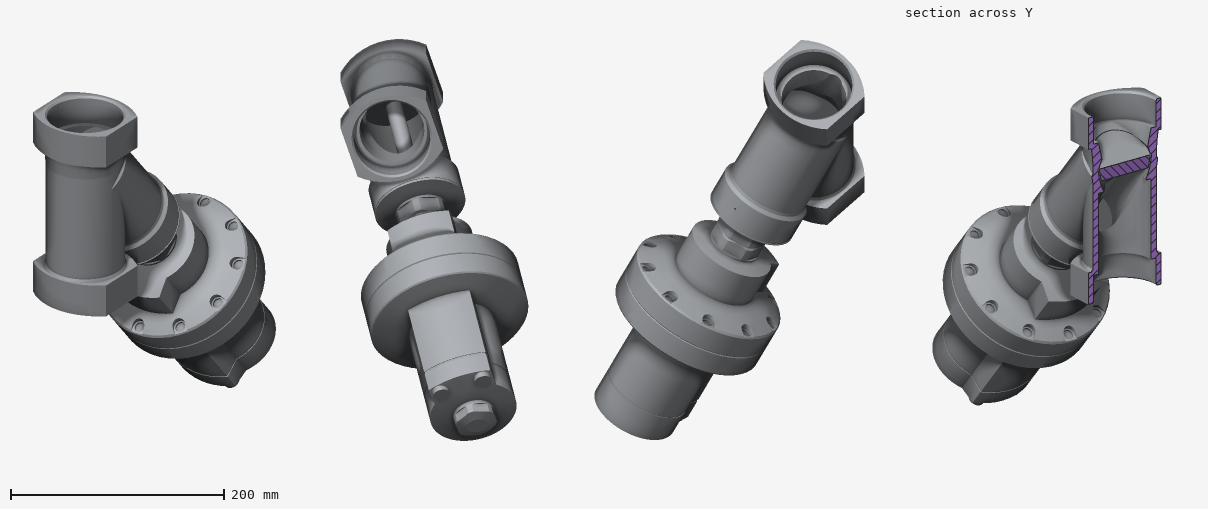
import cadquery as cq
import math


BRANCH_ANGLE = 40.0
branch_direction = (
    0,
    math.sin(math.radians(BRANCH_ANGLE)),
    -math.cos(math.radians(BRANCH_ANGLE)),
)
BRANCH_PLACE = cq.Location(cq.Plane(origin=(0, 0, 0), xDir=(1, 0, 0), normal=branch_direction))

PIPE_HEIGHT = 190.0
PIPE_TOP = 52.5
PIPE_BOTTOM = PIPE_TOP - PIPE_HEIGHT
PIPE_RADIUS = 37.3
END_HEIGHT = 32.5
END_HALF_WIDTH = 42.4
END_HALF_DEPTH = 41.3
END_CORNER_DEPTH = 24.8
COLLAR_RADIUS = 39.2
COLLAR_HEIGHT = 2.4
NECK_RADIUS = 38.8
NECK_HEIGHT = 14.5

SOCKET_RADIUS = 36.0
SOCKET_DEPTH = 28.0
SOCKET_CHAMFER = 1.8
PASSAGE_RADIUS = 30.4
THROAT_RADIUS = 25.0
PASSAGE_LENGTH = 60.0
OUTLET_LENGTH = 82.0

BRANCH_START = 1.5
BRANCH_RADIUS = 39.2
BRANCH_START_CHAMFER = 2.8
RING_RADIUS = 43.3
RING_RAMP_START = 93.2
RING_RAMP_MIDDLE = 96.0
RING_START = 99.0
RING_END = 126.0
RING_STEP = 0.8
VENT_DIAMETER = 2.5
VENT_POSITION = 111.0
BRANCH_BORE_RADIUS = 31.0
SEAT_RADIUS = 30.0
SEAT_CONE_LENGTH = 57.0

DISC_THICKNESS = 10.0
STEM_DIAMETER = 16.0
SPIGOT_LENGTH = 24.0
SEAM_DEPTH = 0.6
BONNET_SEAM_END = 127.5
BONNET_RIM_END = 128.7
BONNET_DOME_END = 132.5
NUT_RADIUS = 25.0
NUT_WIDTH = 46.0
NUT_COLLAR = 2.5
NUT_NECK_RADIUS = 22.6
NUT_NECK_START = 148.3
NUT_NECK_END = 151.5
NUT_END = 166.0

HUB_RADIUS = 41.3
ARM_HALF_WIDTH = 30.4
ARM_REACH = 53.5
ARM_TIP_RADIUS = 75.0
HUB_DOME_APEX = 163.4
HUB_DOME_RADIUS = 145.0
FLANGE_RADIUS = 75.65
FLANGE_SEAM = 239.5
FLANGE_SEAM_CHAMFER = 0.8
BASE_DOME_APEX = 200.2
BASE_DOME_RADIUS = 195.0
BASE_RIM_RADIUS = 74.0
BASE_RIM_START = 216.8
LID_DOME_APEX = 276.0
LID_DOME_RADIUS = 210.0
LID_RIM_RADIUS = 74.6
LID_RIM_START = 261.0
BOLT_COUNT = 10
BOLT_CIRCLE_RADIUS = 68.0
BOLT_SLOT_DIAMETER = 13.0
BOLT_HOLE_DIAMETER = 10.0
BOLT_SLOT_FLOOR = 215.5
BOLT_HOLE_FLOOR = 217.5

CAP_GROOVE_START = 341.0
CAP_GROOVE_WIDTH = 2.3
CAP_DOME_RADIUS = 255.0
CAP_DOME_APEX = 373.3
CAP_DOME_OFFSET = -20.0
FOOT_DIAMETER = 16.0
FOOT_SPACING = 41.0
FOOT_REACH = 41.5
FOOT_LENGTH = 20.0
FOOT_END = 368.0
PLUG_RADIUS = 20.0
PLUG_WIDTH = 37.0
PLUG_BASE_END = 374.0
PLUG_RIM = 382.5
PLUG_TIP_RADIUS = 10.0
PLUG_END = 385.5


def revolved(outline):
    """Turn a closed (radius, height) outline around Z."""
    return cq.Workplane("XZ").polyline(outline).close().revolve(360, (0, 0), (0, 1))


def cylinder(radius, start, end):
    return cq.Workplane("XY").workplane(offset=start).circle(radius).extrude(end - start)


def hexagon(width, start, end):
    corner_diameter = width / math.cos(math.radians(30))
    flats_to_x = cq.Workplane("XY").workplane(offset=start).transformed(rotate=(0, 0, 30))
    return flats_to_x.polygon(6, corner_diameter).extrude(end - start)


def ball(radius, y, z):
    """Sphere centred on the YZ plane, with its poles on the X direction, clear of the dome tops."""
    return cq.Workplane("YZ").sphere(radius).translate((0, y, z))


def dome_drop(dome_radius, radius):
    """How far a spherical dome falls from its apex at the given distance from its axis."""
    return dome_radius - math.sqrt(dome_radius**2 - radius**2)


def tilted(upright):
    return cq.Workplane(obj=upright.val().moved(BRANCH_PLACE))


def pipe_end(start):
    return (
        cq.Workplane("XY")
        .workplane(offset=start)
        .moveTo(END_HALF_WIDTH, -END_CORNER_DEPTH)
        .lineTo(END_HALF_WIDTH, END_CORNER_DEPTH)
        .threePointArc((0, END_HALF_DEPTH), (-END_HALF_WIDTH, END_CORNER_DEPTH))
        .lineTo(-END_HALF_WIDTH, -END_CORNER_DEPTH)
        .threePointArc((0, -END_HALF_DEPTH), (END_HALF_WIDTH, -END_CORNER_DEPTH))
        .close()
        .extrude(END_HEIGHT)
    )


def pipe_outside():
    low = PIPE_BOTTOM + END_HEIGHT
    high = PIPE_TOP - END_HEIGHT
    barrel = revolved(
        [
            (0, low),
            (COLLAR_RADIUS, low),
            (PIPE_RADIUS, low + COLLAR_HEIGHT),
            (PIPE_RADIUS, high - COLLAR_HEIGHT - NECK_HEIGHT),
            (NECK_RADIUS, high - COLLAR_HEIGHT),
            (COLLAR_RADIUS, high - COLLAR_HEIGHT),
            (COLLAR_RADIUS, high),
            (0, high),
        ]
    )
    return barrel.union(pipe_end(PIPE_BOTTOM)).union(pipe_end(high))


def branch_outside():
    return revolved(
        [
            (0, BRANCH_START),
            (BRANCH_RADIUS - BRANCH_START_CHAMFER, BRANCH_START),
            (BRANCH_RADIUS, BRANCH_START + BRANCH_START_CHAMFER),
            (BRANCH_RADIUS, RING_RAMP_START),
            (BRANCH_RADIUS + RING_STEP, RING_RAMP_MIDDLE),
            (RING_RADIUS, RING_START),
            (RING_RADIUS, RING_END),
            (0, RING_END),
        ]
    )


def branch_cavity():
    """Bore for the stem and disc, with the seat cone running on past the pipe axis."""
    return revolved(
        [
            (0, -SEAT_CONE_LENGTH),
            (SEAT_RADIUS, 0),
            (BRANCH_BORE_RADIUS, 0),
            (BRANCH_BORE_RADIUS, RING_END),
            (0, RING_END),
        ]
    )


def socket(mouth, inward):
    """Chamfered round socket; `inward` is +1 or -1, the way it goes along Z."""
    floor = mouth + inward * SOCKET_DEPTH
    return revolved(
        [
            (0, mouth),
            (SOCKET_RADIUS + SOCKET_CHAMFER, mouth),
            (SOCKET_RADIUS, mouth + inward * SOCKET_CHAMFER),
            (SOCKET_RADIUS, floor),
            (0, floor),
        ]
    )


def inlet_passage():
    """Tapered passage from the upper socket down to the plane of the seat."""
    start = PIPE_TOP - SOCKET_DEPTH
    throat = revolved(
        [
            (0, start),
            (PASSAGE_RADIUS, start),
            (THROAT_RADIUS, 0),
            (THROAT_RADIUS, start - PASSAGE_LENGTH),
            (0, start - PASSAGE_LENGTH),
        ]
    )
    beyond_seat = tilted(cylinder(PIPE_HEIGHT, 0, PIPE_HEIGHT))
    return throat.cut(beyond_seat)


def outlet_passage():
    start = PIPE_BOTTOM + SOCKET_DEPTH
    return cylinder(PASSAGE_RADIUS, start, start + OUTLET_LENGTH)


def vent_hole():
    return (
        cq.Workplane("XZ")
        .center(0, VENT_POSITION)
        .circle(VENT_DIAMETER / 2)
        .extrude(RING_RADIUS + 1)
    )


def make_valve_body():
    body = pipe_outside().union(tilted(branch_outside()))
    body = body.cut(tilted(branch_cavity()))
    body = body.cut(socket(PIPE_TOP, -1)).cut(socket(PIPE_BOTTOM, 1))
    body = body.cut(inlet_passage()).cut(outlet_passage())
    return body.cut(tilted(vent_hole()))


def make_bonnet():
    """Sealing disc, stem, spigot and rim, then the double hexagon that carries the actuator."""
    stem_radius = STEM_DIAMETER / 2
    turned = revolved(
        [
            (0, 0),
            (SEAT_RADIUS, 0),
            (SEAT_RADIUS, DISC_THICKNESS),
            (stem_radius, DISC_THICKNESS),
            (stem_radius, RING_END - SPIGOT_LENGTH),
            (BRANCH_BORE_RADIUS, RING_END - SPIGOT_LENGTH),
            (BRANCH_BORE_RADIUS, RING_END),
            (RING_RADIUS - SEAM_DEPTH, RING_END),
            (RING_RADIUS - SEAM_DEPTH, BONNET_SEAM_END),
            (RING_RADIUS, BONNET_SEAM_END),
            (RING_RADIUS, BONNET_RIM_END),
            (NUT_RADIUS, BONNET_DOME_END),
            (NUT_RADIUS, BONNET_DOME_END + NUT_COLLAR),
            (0, BONNET_DOME_END + NUT_COLLAR),
        ]
    )
    neck_middle = (NUT_NECK_START + NUT_NECK_END) / 2
    nut = revolved(
        [
            (0, BONNET_DOME_END),
            (NUT_RADIUS, BONNET_DOME_END),
            (NUT_RADIUS, NUT_NECK_START),
            (NUT_NECK_RADIUS, neck_middle),
            (NUT_RADIUS, NUT_NECK_END),
            (NUT_RADIUS, NUT_END),
            (0, NUT_END),
        ]
    ).intersect(hexagon(NUT_WIDTH, BONNET_DOME_END, NUT_END))
    end_collar = cylinder(NUT_RADIUS, NUT_END - NUT_COLLAR, NUT_END)
    return tilted(turned.union(nut).union(end_collar).cut(hub_dome()))


def hub_section(start, end, inset=0):
    """Round hub with a straight-sided arm on the +Y side, pulled in all round by `inset`."""
    half_width = ARM_HALF_WIDTH - inset
    reach = ARM_REACH - inset
    side_reach = reach - dome_drop(ARM_TIP_RADIUS, half_width)
    arm = (
        cq.Workplane("XY")
        .workplane(offset=start)
        .moveTo(-half_width, 0)
        .lineTo(half_width, 0)
        .lineTo(half_width, side_reach)
        .threePointArc((0, reach), (-half_width, side_reach))
        .close()
        .extrude(end - start)
    )
    return cylinder(HUB_RADIUS - inset, start, end).union(arm)


def hub_dome():
    return ball(HUB_DOME_RADIUS, 0, HUB_DOME_APEX + HUB_DOME_RADIUS)


def domed_flange(apex, dome_radius, dome_rim_radius, rim_start, facing):
    """Flange half with a domed face; `facing` is +1 or -1, the way the dome points along Z."""
    def dome_height(radius):
        return apex - facing * dome_drop(dome_radius, radius)

    seam_edge = FLANGE_SEAM + facing * FLANGE_SEAM_CHAMFER
    middle = dome_rim_radius / 2
    return (
        cq.Workplane("XZ")
        .moveTo(0, FLANGE_SEAM)
        .lineTo(0, apex)
        .threePointArc((middle, dome_height(middle)), (dome_rim_radius, dome_height(dome_rim_radius)))
        .lineTo(FLANGE_RADIUS, rim_start)
        .lineTo(FLANGE_RADIUS, seam_edge)
        .lineTo(FLANGE_RADIUS - FLANGE_SEAM_CHAMFER, FLANGE_SEAM)
        .close()
        .revolve(360, (0, 0), (0, 1))
    )


def bolt_pocket():
    """Counterbore open towards the rim, with a bolt hole in its floor."""
    slot_height = BASE_RIM_START - BASE_DOME_APEX
    hole = cylinder(BOLT_HOLE_DIAMETER / 2, BASE_DOME_APEX, BOLT_HOLE_FLOOR)
    slot_start = BOLT_SLOT_FLOOR - slot_height
    slot = cylinder(BOLT_SLOT_DIAMETER / 2, slot_start, BOLT_SLOT_FLOOR)
    mouth_length = FLANGE_RADIUS - BOLT_CIRCLE_RADIUS
    mouth = (
        cq.Workplane("XY")
        .workplane(offset=slot_start)
        .center(0, mouth_length / 2)
        .rect(BOLT_SLOT_DIAMETER, mouth_length)
        .extrude(slot_height)
    )
    return hole.union(slot).union(mouth).translate((0, BOLT_CIRCLE_RADIUS, 0))


def make_base_housing():
    hub = hub_section(HUB_DOME_APEX, FLANGE_SEAM).intersect(hub_dome())
    flange = domed_flange(BASE_DOME_APEX, BASE_DOME_RADIUS, BASE_RIM_RADIUS, BASE_RIM_START, -1)
    housing = hub.union(flange)
    for i in range(BOLT_COUNT):
        housing = housing.cut(bolt_pocket().rotate((0, 0, 0), (0, 0, 1), i * 360 / BOLT_COUNT))
    return tilted(housing)


def cap_groove():
    """Thin groove that follows the outline of the hub and arm."""
    end = CAP_GROOVE_START + CAP_GROOVE_WIDTH
    return hub_section(CAP_GROOVE_START, end).cut(hub_section(CAP_GROOVE_START, end, SEAM_DEPTH))


def closing_plug():
    base = cylinder(PLUG_RADIUS, FLANGE_SEAM, PLUG_BASE_END)
    head = revolved(
        [
            (0, FLANGE_SEAM),
            (PLUG_RADIUS, FLANGE_SEAM),
            (PLUG_RADIUS, PLUG_RIM),
            (PLUG_TIP_RADIUS, PLUG_END),
            (0, PLUG_END),
        ]
    )
    return base.union(head.intersect(hexagon(PLUG_WIDTH, FLANGE_SEAM, PLUG_END)))


def make_top_housing():
    cap_dome = ball(CAP_DOME_RADIUS, CAP_DOME_OFFSET, CAP_DOME_APEX - CAP_DOME_RADIUS)
    hub = hub_section(FLANGE_SEAM, PLUG_END).intersect(cap_dome).cut(cap_groove())
    flange = domed_flange(LID_DOME_APEX, LID_DOME_RADIUS, LID_RIM_RADIUS, LID_RIM_START, 1)
    housing = hub.union(flange).union(closing_plug())
    for side in (-1, 1):
        foot = cylinder(FOOT_DIAMETER / 2, FOOT_END - FOOT_LENGTH, FOOT_END)
        housing = housing.union(foot.translate((side * FOOT_SPACING / 2, FOOT_REACH, 0)))
    return tilted(housing)


valve_body = make_valve_body()
bonnet = make_bonnet()
base_housing = make_base_housing()
top_housing = make_top_housing()

result = cq.Compound.makeCompound([valve_body.val(), bonnet.val(), base_housing.val(), top_housing.val()])